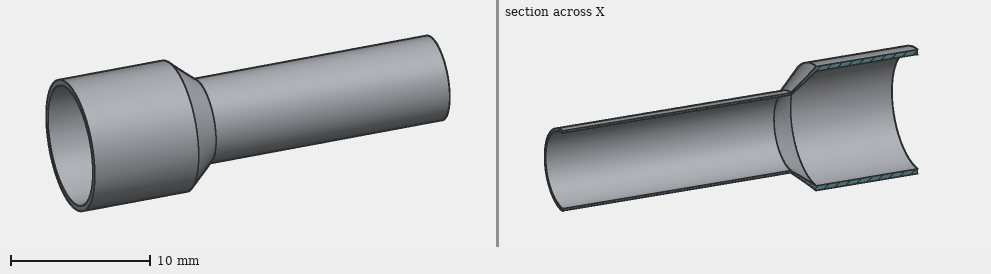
import cadquery as cq

total_length = 28.0
collar_length = 8.0
shoulder_length = 2.0

collar_outer_diameter = 9.6
collar_wall = 0.4
tube_outer_diameter = 6.2
tube_wall = 0.2

collar_outer_radius = collar_outer_diameter / 2
collar_inner_radius = collar_outer_radius - collar_wall
tube_outer_radius = tube_outer_diameter / 2
tube_inner_radius = tube_outer_radius - tube_wall

shoulder_start = collar_length
shoulder_end = shoulder_start + shoulder_length


def stepped_body(collar_radius, tube_radius):
    """Solid of revolution about Y: collar cylinder, cone, tube cylinder."""
    return (
        cq.Workplane("XY")
        .moveTo(0, 0)
        .lineTo(collar_radius, 0)
        .lineTo(collar_radius, shoulder_start)
        .lineTo(tube_radius, shoulder_end)
        .lineTo(tube_radius, total_length)
        .lineTo(0, total_length)
        .close()
        .revolve(360, (0, 0, 0), (0, 1, 0))
    )


outer_body = stepped_body(collar_outer_radius, tube_outer_radius)
through_bore = stepped_body(collar_inner_radius, tube_inner_radius)

result = outer_body.cut(through_bore)